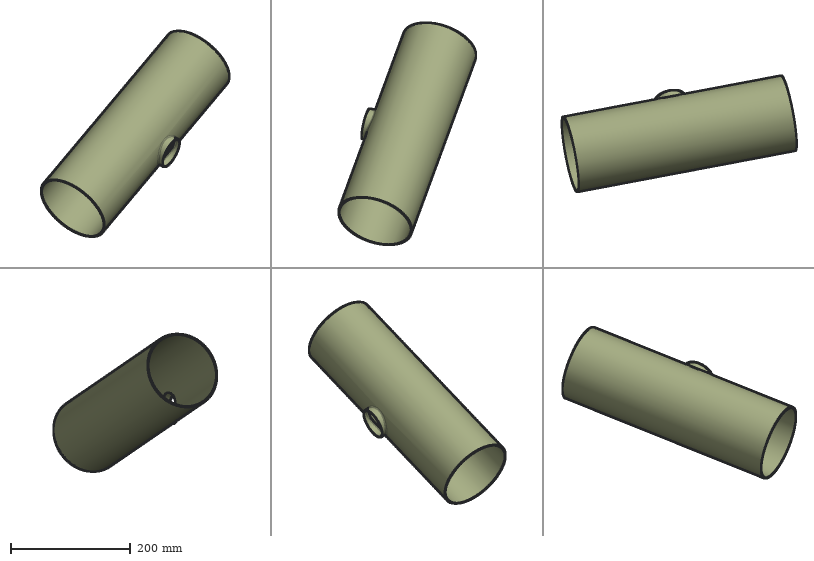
import cadquery as cq

pipe_length = 375.0
pipe_outer_diameter = 129.0
pipe_inner_diameter = 125.0

stub_outer_diameter = 53.0
stub_inner_diameter = 50.0
seam_fillet_radius = 2.0
overall_width = 137.0
stub_end_x = overall_width - pipe_outer_diameter / 2


def pipe_cylinder(diameter):
    """Cylinder along Y, centred on the origin."""
    return cq.Workplane("XZ").circle(diameter / 2).extrude(pipe_length / 2, both=True)


def stub_cylinder(diameter):
    """Cylinder along +X from the pipe axis to the stub's open end."""
    return cq.Workplane("YZ").circle(diameter / 2).extrude(stub_end_x)


outer_body = pipe_cylinder(pipe_outer_diameter).union(stub_cylinder(stub_outer_diameter))

seam_region = cq.selectors.BoxSelector(
    (pipe_outer_diameter / 4, -stub_outer_diameter, -stub_outer_diameter),
    (pipe_outer_diameter / 2, stub_outer_diameter, stub_outer_diameter),
)
outer_body = outer_body.edges(seam_region).fillet(seam_fillet_radius)

result = outer_body.cut(pipe_cylinder(pipe_inner_diameter)).cut(stub_cylinder(stub_inner_diameter))